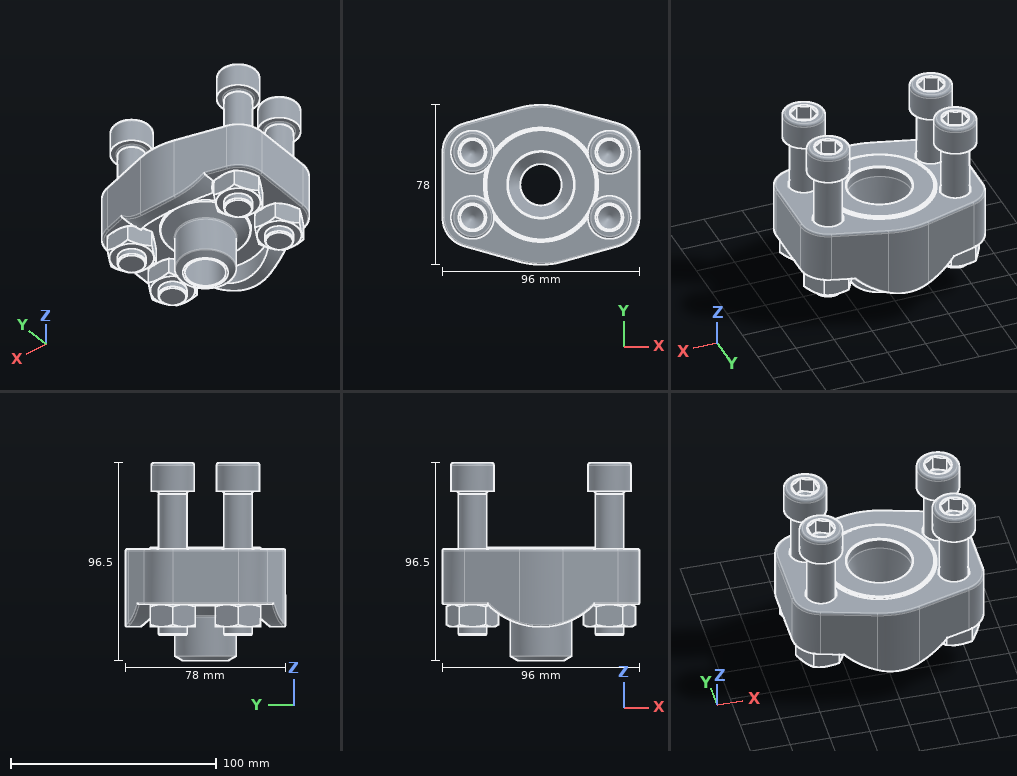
import cadquery as cq
import math


BOLT_SPACING_X = 66.7
BOLT_SPACING_Y = 31.75
BOLT_X = BOLT_SPACING_X / 2
BOLT_Y = BOLT_SPACING_Y / 2

FLANGE_LENGTH = 96.0
FLANGE_WIDTH = 78.0
FLANGE_THICKNESS = 27.0
SIDE_RADIUS = FLANGE_WIDTH / 2
CORNER_RADIUS = FLANGE_LENGTH / 2 - BOLT_X
FLANGE_FILLET = 1.0
BELLY_RADIUS = 36.0
BELLY_DEPTH = 38.0
RELIEF_DIAMETER = 63.0
SPOT_FACE_DIAMETER = 25.6
BOLT_HOLE_DIAMETER = 15.2

COLLAR_DIAMETER = 54.0
COLLAR_RISE = 0.8
COLLAR_DEPTH = 13.5
COLLAR_CHAMFER = 0.5
SEAT_DIAMETER = 54.7
SEAT_CHAMFER = 0.6
NECK_DIAMETER = 43.5
NECK_BOTTOM = -27.7
NECK_HOLE_DIAMETER = 44.5
STEM_DIAMETER = 30.0
STEM_TOP = -32.6
STEM_BLEND_RADIUS = 0.9
OVERALL_HEIGHT = 96.5
WELD_CHAMFER_WIDTH = 4.0
WELD_CHAMFER_HEIGHT = 2.3
WELD_EDGE_RADIUS = 0.5
MOUTH_DIAMETER = 32.0
MOUTH_CHAMFER = 0.5
TAPER_TOP = -4.8
TAPER_BOTTOM = STEM_TOP
BORE_DIAMETER = 20.0

BOLT_TOP = 42.0
HEAD_DIAMETER = 21.0
HEAD_HEIGHT = 14.0
HEAD_FILLET = 1.35
SHANK_DIAMETER = 14.0
SHANK_LENGTH = 70.0
UNDERHEAD_RADIUS = 1.0
NECKDOWN_DIAMETER = 13.7
NECKDOWN_LENGTH = 1.1
NECKDOWN_STEP = 0.3
TIP_DIAMETER = 13.0
TIP_CHAMFER_HEIGHT = 0.8
SOCKET_ACROSS_FLATS = 11.8
SOCKET_RIM_DIAMETER = 13.7
SOCKET_DEPTH = 8.0
SOCKET_ANGLE = 37.0
SOCKET_RIM_SLOPE = math.radians(30)
SOCKET_POINT_SLOPE = math.radians(30)

NUT_ACROSS_FLATS = 22.0
NUT_HEIGHT = 11.0
NUT_FACE_DIAMETER = 21.6
NUT_CHAMFER_SLOPE = math.radians(30)

NIPPLE_TOP = COLLAR_RISE
NIPPLE_BOTTOM = BOLT_TOP - OVERALL_HEIGHT
BOLT_POSITIONS = [(sx * BOLT_X, sy * BOLT_Y) for sx in (-1, 1) for sy in (-1, 1)]


def corners_across(across_flats):
    """Diameter of the circle through the corners of a hexagon."""
    return across_flats / math.cos(math.pi / 6)


def revolved(points):
    """Solid turned around Z from a closed outline of (radius, z) points."""
    return cq.Workplane("XZ").polyline(points).close().revolve(360, (0, 0, 0), (0, 1, 0))


def circle_at(z):
    """Selector of the circular edge around the bore axis at height z."""
    half_box = COLLAR_DIAMETER
    half_gap = 0.1
    return cq.selectors.BoxSelector(
        (-half_box, -half_box, z - half_gap), (half_box, half_box, z + half_gap)
    )


def flange_outline():
    """Six-sided plate whose straight slopes are tangent to the corner and side arcs."""
    normal = math.atan2(BOLT_X, BOLT_Y) - math.acos(
        (SIDE_RADIUS - CORNER_RADIUS) / math.hypot(BOLT_X, BOLT_Y)
    )
    side_end_x = SIDE_RADIUS * math.sin(normal)
    side_end_y = SIDE_RADIUS * math.cos(normal)
    corner_end_x = BOLT_X + CORNER_RADIUS * math.sin(normal)
    corner_end_y = BOLT_Y + CORNER_RADIUS * math.cos(normal)
    middle = (normal + math.pi / 2) / 2
    corner_mid_x = BOLT_X + CORNER_RADIUS * math.sin(middle)
    corner_mid_y = BOLT_Y + CORNER_RADIUS * math.cos(middle)
    half_length = FLANGE_LENGTH / 2
    return (
        cq.Workplane("XY")
        .moveTo(-side_end_x, side_end_y)
        .threePointArc((0, SIDE_RADIUS), (side_end_x, side_end_y))
        .lineTo(corner_end_x, corner_end_y)
        .threePointArc((corner_mid_x, corner_mid_y), (half_length, BOLT_Y))
        .lineTo(half_length, -BOLT_Y)
        .threePointArc((corner_mid_x, -corner_mid_y), (corner_end_x, -corner_end_y))
        .lineTo(side_end_x, -side_end_y)
        .threePointArc((0, -SIDE_RADIUS), (-side_end_x, -side_end_y))
        .lineTo(-corner_end_x, -corner_end_y)
        .threePointArc((-corner_mid_x, -corner_mid_y), (-half_length, -BOLT_Y))
        .lineTo(-half_length, BOLT_Y)
        .threePointArc((-corner_mid_x, corner_mid_y), (-corner_end_x, corner_end_y))
        .close()
    )


def flange_side_profile():
    """Profile along Y: a flat plate with a round belly under its middle."""
    half_length = FLANGE_LENGTH / 2
    axis_z = BELLY_RADIUS - BELLY_DEPTH
    belly_half = math.sqrt(BELLY_RADIUS**2 - (FLANGE_THICKNESS + axis_z) ** 2)
    return (
        cq.Workplane("XZ")
        .moveTo(-half_length, 0)
        .lineTo(-half_length, -FLANGE_THICKNESS)
        .lineTo(-belly_half, -FLANGE_THICKNESS)
        .threePointArc((0, -BELLY_DEPTH), (belly_half, -FLANGE_THICKNESS))
        .lineTo(half_length, -FLANGE_THICKNESS)
        .lineTo(half_length, 0)
        .close()
    )


def make_flange():
    block = flange_outline().extrude(-BELLY_DEPTH)
    block = block.intersect(flange_side_profile().extrude(SIDE_RADIUS, both=True))
    block = block.edges("not(|Z or |Y)").fillet(FLANGE_FILLET)

    relief = (
        cq.Workplane("XY", origin=(0, 0, -FLANGE_THICKNESS))
        .circle(RELIEF_DIAMETER / 2)
        .extrude(FLANGE_THICKNESS - BELLY_DEPTH)
    )
    spot_faces = (
        cq.Workplane("XY", origin=(0, 0, -FLANGE_THICKNESS))
        .pushPoints(BOLT_POSITIONS)
        .circle(SPOT_FACE_DIAMETER / 2)
        .extrude(FLANGE_THICKNESS - BELLY_DEPTH)
    )
    seat_radius = SEAT_DIAMETER / 2
    neck_hole_radius = NECK_HOLE_DIAMETER / 2
    seat = revolved([
        (0, 0),
        (seat_radius + SEAT_CHAMFER, 0),
        (seat_radius, -SEAT_CHAMFER),
        (seat_radius, -COLLAR_DEPTH),
        (neck_hole_radius, -COLLAR_DEPTH),
        (neck_hole_radius, -BELLY_DEPTH),
        (0, -BELLY_DEPTH),
    ])
    bolt_holes = (
        cq.Workplane("XY")
        .pushPoints(BOLT_POSITIONS)
        .circle(BOLT_HOLE_DIAMETER / 2)
        .extrude(-BELLY_DEPTH)
    )
    return block.cut(relief).cut(spot_faces).cut(seat).cut(bolt_holes)


def make_nipple():
    collar_radius = COLLAR_DIAMETER / 2
    neck_radius = NECK_DIAMETER / 2
    stem_radius = STEM_DIAMETER / 2
    body = revolved([
        (0, NIPPLE_TOP),
        (collar_radius - COLLAR_CHAMFER, NIPPLE_TOP),
        (collar_radius, NIPPLE_TOP - COLLAR_CHAMFER),
        (collar_radius, -COLLAR_DEPTH),
        (neck_radius, -COLLAR_DEPTH),
        (neck_radius, NECK_BOTTOM),
        (stem_radius, STEM_TOP),
        (stem_radius, NIPPLE_BOTTOM + WELD_CHAMFER_HEIGHT),
        (stem_radius - WELD_CHAMFER_WIDTH, NIPPLE_BOTTOM),
        (0, NIPPLE_BOTTOM),
    ])
    body = body.edges(circle_at(STEM_TOP)).fillet(STEM_BLEND_RADIUS)
    body = body.edges(circle_at(NIPPLE_BOTTOM + WELD_CHAMFER_HEIGHT)).fillet(WELD_EDGE_RADIUS)

    mouth_radius = MOUTH_DIAMETER / 2
    bore_radius = BORE_DIAMETER / 2
    bore = revolved([
        (0, NIPPLE_TOP),
        (mouth_radius + MOUTH_CHAMFER, NIPPLE_TOP),
        (mouth_radius, NIPPLE_TOP - MOUTH_CHAMFER),
        (mouth_radius, TAPER_TOP),
        (bore_radius, TAPER_BOTTOM),
        (bore_radius, NIPPLE_BOTTOM),
        (0, NIPPLE_BOTTOM),
    ])
    return body.cut(bore)


def make_socket():
    """Hexagonal recess with a chamfered rim and a conical floor."""
    rim_radius = SOCKET_RIM_DIAMETER / 2
    inner_radius = SOCKET_ACROSS_FLATS / 2
    floor_z = BOLT_TOP - SOCKET_DEPTH
    hexagon = (
        cq.Workplane("XY", origin=(0, 0, BOLT_TOP))
        .polygon(6, corners_across(SOCKET_ACROSS_FLATS))
        .extrude(-SOCKET_DEPTH)
        .rotate((0, 0, 0), (0, 0, 1), SOCKET_ANGLE)
    )
    rim = revolved([
        (0, BOLT_TOP),
        (rim_radius, BOLT_TOP),
        (0, BOLT_TOP - rim_radius * math.tan(SOCKET_RIM_SLOPE)),
    ])
    point = revolved([
        (0, floor_z),
        (inner_radius, floor_z),
        (0, floor_z - inner_radius * math.tan(SOCKET_POINT_SLOPE)),
    ])
    return hexagon.union(rim).union(point)


def make_bolt():
    underhead_z = BOLT_TOP - HEAD_HEIGHT
    tip_z = underhead_z - SHANK_LENGTH
    head_radius = HEAD_DIAMETER / 2
    shank_radius = SHANK_DIAMETER / 2
    neckdown_radius = NECKDOWN_DIAMETER / 2
    sagitta = UNDERHEAD_RADIUS * (1 - math.sqrt(0.5))
    body = (
        cq.Workplane("XZ")
        .moveTo(0, BOLT_TOP)
        .lineTo(head_radius, BOLT_TOP)
        .lineTo(head_radius, underhead_z)
        .lineTo(neckdown_radius + UNDERHEAD_RADIUS, underhead_z)
        .threePointArc(
            (neckdown_radius + sagitta, underhead_z - sagitta),
            (neckdown_radius, underhead_z - UNDERHEAD_RADIUS),
        )
        .lineTo(neckdown_radius, underhead_z - NECKDOWN_LENGTH)
        .lineTo(shank_radius, underhead_z - NECKDOWN_LENGTH - NECKDOWN_STEP)
        .lineTo(shank_radius, tip_z + TIP_CHAMFER_HEIGHT)
        .lineTo(TIP_DIAMETER / 2, tip_z)
        .lineTo(0, tip_z)
        .close()
        .revolve(360, (0, 0, 0), (0, 1, 0))
    )
    body = body.faces(">Z").edges().fillet(HEAD_FILLET)
    return body.cut(make_socket())


def make_nut():
    nut_bottom = -FLANGE_THICKNESS - NUT_HEIGHT
    corner_radius = corners_across(NUT_ACROSS_FLATS) / 2
    face_radius = NUT_FACE_DIAMETER / 2
    drop = (corner_radius - face_radius) * math.tan(NUT_CHAMFER_SLOPE)
    hexagon = (
        cq.Workplane("XY", origin=(0, 0, nut_bottom))
        .polygon(6, 2 * corner_radius)
        .extrude(NUT_HEIGHT)
    )
    envelope = revolved([
        (0, nut_bottom),
        (face_radius, nut_bottom),
        (corner_radius, nut_bottom + drop),
        (corner_radius, -FLANGE_THICKNESS - drop),
        (face_radius, -FLANGE_THICKNESS),
        (0, -FLANGE_THICKNESS),
    ])
    bore = (
        cq.Workplane("XY", origin=(0, 0, nut_bottom))
        .circle(SHANK_DIAMETER / 2)
        .extrude(NUT_HEIGHT)
    )
    return hexagon.intersect(envelope).cut(bore)


flange = make_flange()
nipple = make_nipple()
bolt = make_bolt()
nut = make_nut()

bolts = []
nuts = []
for x, y in BOLT_POSITIONS:
    bolts.append(bolt.translate((x, y, 0)).val())
    nuts.append(nut.translate((x, y, 0)).val())

result = cq.Compound.makeCompound([flange.val(), nipple.val(), *bolts, *nuts])